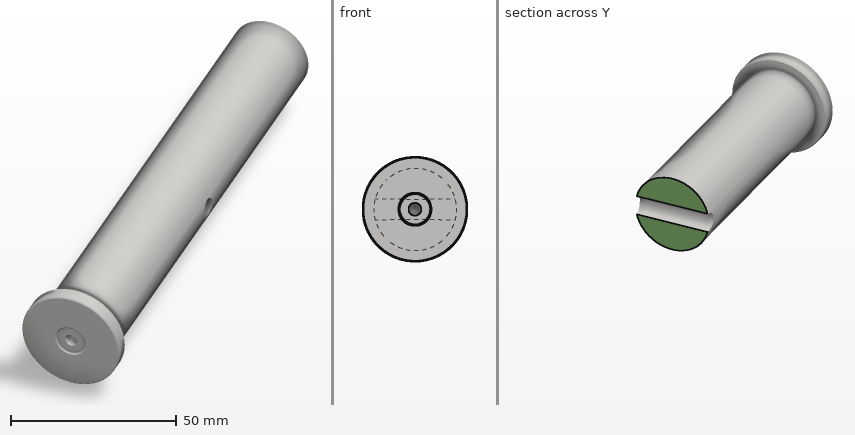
import cadquery as cq
import math

total_length = 155.0
shaft_diameter = 25.0
head_diameter = 31.8
head_thickness = 5.0
head_edge_chamfer = 0.3

cross_hole_diameter = 6.2

recess_mouth_diameter = 10.0
recess_floor_diameter = 9.1
recess_depth = 0.5
drill_diameter = 3.9
drill_depth = 9.3
drill_point_angle = 118.0

head_face_y = -total_length / 2
head_back_y = head_face_y + head_thickness


def make_pin():
    """Revolve the half-profile of the chamfered head and the shaft about Y."""
    shaft_radius = shaft_diameter / 2
    head_radius = head_diameter / 2
    return (
        cq.Workplane("XY")
        .moveTo(0, head_face_y)
        .lineTo(head_radius - head_edge_chamfer, head_face_y)
        .lineTo(head_radius, head_face_y + head_edge_chamfer)
        .lineTo(head_radius, head_back_y - head_edge_chamfer)
        .lineTo(head_radius - head_edge_chamfer, head_back_y)
        .lineTo(shaft_radius, head_back_y)
        .lineTo(shaft_radius, total_length / 2)
        .lineTo(0, total_length / 2)
        .close()
        .revolve(360, (0, 0), (0, 1))
    )


def make_head_bore():
    """Tapered recess and pointed drill hole, revolved about Y."""
    drill_radius = drill_diameter / 2
    point_length = drill_radius / math.tan(math.radians(drill_point_angle / 2))
    floor_y = head_face_y + recess_depth
    drill_end_y = floor_y + drill_depth
    return (
        cq.Workplane("XY")
        .moveTo(0, head_face_y)
        .lineTo(recess_mouth_diameter / 2, head_face_y)
        .lineTo(recess_floor_diameter / 2, floor_y)
        .lineTo(drill_radius, floor_y)
        .lineTo(drill_radius, drill_end_y)
        .lineTo(0, drill_end_y + point_length)
        .close()
        .revolve(360, (0, 0), (0, 1))
    )


def make_cross_hole():
    """Cylinder along X at mid-length, spanning the whole shaft."""
    return cq.Workplane("YZ").circle(cross_hole_diameter / 2).extrude(shaft_diameter, both=True)


result = make_pin().cut(make_head_bore()).cut(make_cross_hole())